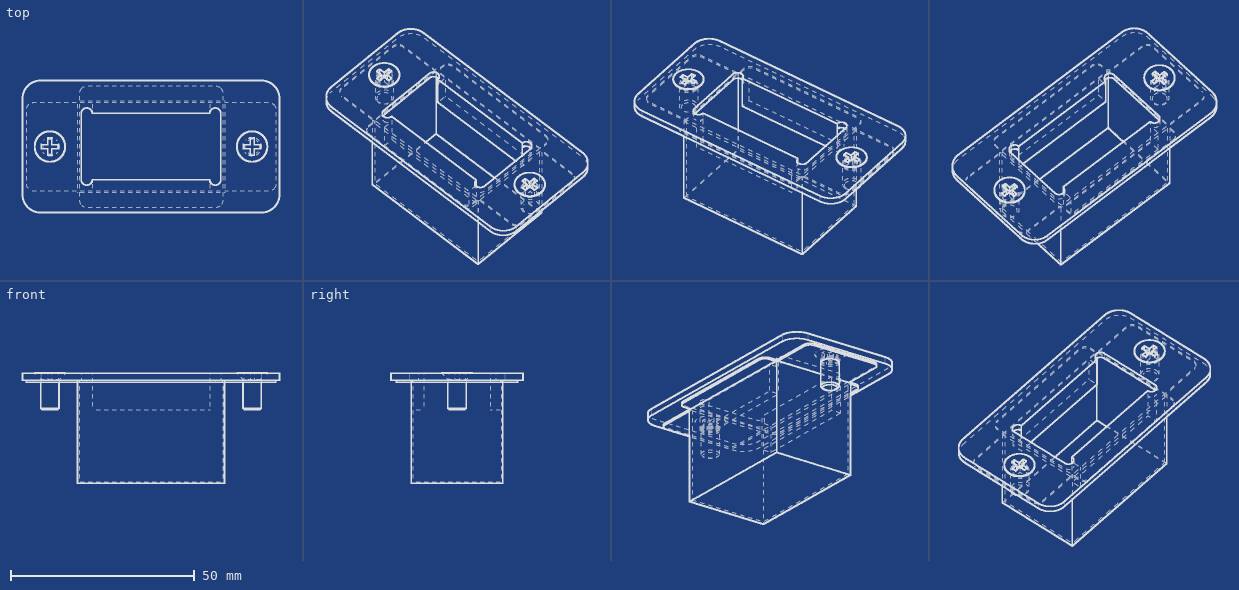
import cadquery as cq

plate_length = 70.0
plate_width = 36.0
plate_thickness = 2.0
plate_corner_radius = 5.0

opening_length = 38.0
opening_width = 18.0
relief_radius = 1.5
relief_x = opening_length / 2 - relief_radius
relief_y = opening_width / 2

box_length = 40.0
box_width = 25.0
box_bottom_z = -30.0
sheet_thickness = 0.5
box_top_z = -plate_thickness
inner_length = box_length - 2 * sheet_thickness
inner_width = box_width - 2 * sheet_thickness

flange_length = 68.0
flange_width = 33.0
tab_corner_radius = 2.0

rib_depth = 8.0
rib_length = opening_length - 4 * relief_radius
rib_thickness = (inner_width - opening_width) / 2

screw_x = 27.5
head_diameter = 8.4
head_rise = 0.1
head_top_chamfer = 0.1
shank_diameter = 5.0
screw_tip_z = -10.0
tip_chamfer = 0.5
recess_span = 4.6
recess_slot_width = 1.1
recess_depth = 2.0
head_radius = head_diameter / 2
shank_radius = shank_diameter / 2
cone_depth = head_radius - shank_radius


def block(length, width, top_z, height):
    """Rectangular block centred on the Z axis, reaching down from top_z."""
    return (
        cq.Workplane("XY")
        .workplane(offset=top_z)
        .rect(length, width)
        .extrude(-height)
    )


def make_plate():
    plate = block(plate_length, plate_width, 0, plate_thickness)
    plate = plate.edges("|Z").fillet(plate_corner_radius)

    opening = block(opening_length, opening_width, 0, plate_thickness)
    reliefs = (
        cq.Workplane("XY")
        .rect(2 * relief_x, 2 * relief_y, forConstruction=True)
        .vertices()
        .circle(relief_radius)
        .extrude(-plate_thickness)
    )
    plate = plate.cut(opening).cut(reliefs)

    for side in (-1, 1):
        rib = block(rib_length, rib_thickness, -plate_thickness, rib_depth)
        rib_y = side * (opening_width + rib_thickness) / 2
        plate = plate.union(rib.translate((0, rib_y, 0)))

    return plate


def make_box():
    outer_height = box_top_z - box_bottom_z
    box = block(box_length, box_width, box_top_z, outer_height)

    end_tabs = block(flange_length, inner_width, box_top_z, sheet_thickness)
    side_tabs = block(inner_length, flange_width, box_top_z, sheet_thickness)
    for tabs in (end_tabs, side_tabs):
        box = box.union(tabs.edges("|Z").fillet(tab_corner_radius))

    cavity = block(inner_length, inner_width, box_top_z, outer_height - sheet_thickness)
    return box.cut(cavity)


def make_screw_body():
    """Screw on the Z axis without its cross recess."""
    profile = [
        (0, head_rise),
        (head_radius - head_top_chamfer, head_rise),
        (head_radius, head_rise - head_top_chamfer),
        (shank_radius, -cone_depth),
        (shank_radius, screw_tip_z + tip_chamfer),
        (shank_radius - tip_chamfer, screw_tip_z),
        (0, screw_tip_z),
    ]
    return cq.Workplane("XZ").polyline(profile).close().revolve(360, (0, 0), (0, 1))


def make_screw():
    slot_x = block(recess_span, recess_slot_width, head_rise, recess_depth)
    slot_y = block(recess_slot_width, recess_span, head_rise, recess_depth)
    return make_screw_body().cut(slot_x).cut(slot_y)


plate = make_plate()
box = make_box()
screws = []
for x in (-screw_x, screw_x):
    clearance = make_screw_body().translate((x, 0, 0))
    plate = plate.cut(clearance)
    box = box.cut(clearance)
    screws.append(make_screw().translate((x, 0, 0)))

result = cq.Compound.makeCompound([
    plate.val(),
    box.val(),
    *[screw.val() for screw in screws],
])